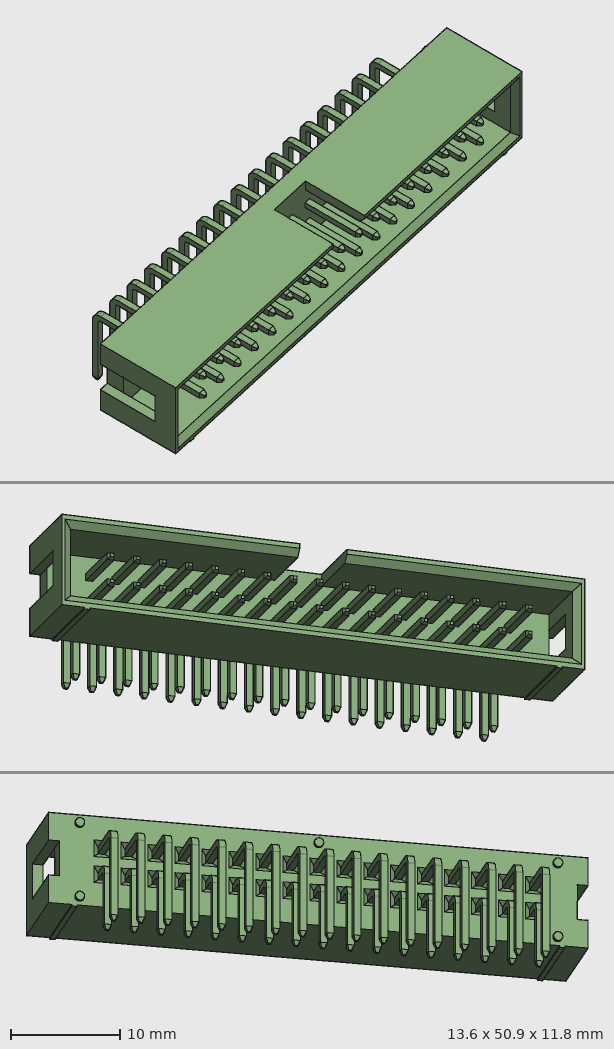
import cadquery as cq


length = 50.85
depth = 8.85
height = 8.85
base_thickness = 1.95
wall = 1.15
end_wall = 1.0
mouth_bevel_depth = 0.55
mouth_bevel_width = 0.7
mid_z = -height / 2

window_height = 3.4
window_end_x = 6.4
key_slot_width = 4.6

pin_count = 17
pitch = 2.55
pin_size = 0.65
pin_end_x = 8.3
pin_tip_z = -11.8
tip_length = 0.45
tip_size = 0.3
outer_leg_reach = 4.75
outer_row_x = pin_size / 2 - outer_leg_reach
bend_radius = 0.65
pin_rows = [
    (outer_row_x, mid_z + pitch / 2),
    (outer_row_x + pitch, mid_z - pitch / 2),
]
pin_ys = [(i - (pin_count - 1) / 2) * pitch for i in range(pin_count)]

funnel_size = 1.65
funnel_depth = 0.5

nub_diameter = 0.85
nub_height = 0.3
nub_inset = 0.8
nub_y = 22.5
rib_width = 0.5
rib_height = 0.15
rib_y = 23.0


def block(x_range, y_range, z_range):
    """Axis-aligned box from its limits along X, Y and Z."""
    limits = (x_range, y_range, z_range)
    sizes = [high - low for low, high in limits]
    corner = cq.Vector(*[low for low, high in limits])
    return cq.Workplane("XY").box(*sizes, centered=False).translate(corner)


def make_cavity():
    """Socket open towards +X, with a bevelled mouth."""
    cavity_length = length - 2 * end_wall
    cavity_height = height - 2 * wall
    pocket = block(
        (base_thickness, depth),
        (-cavity_length / 2, cavity_length / 2),
        (mid_z - cavity_height / 2, mid_z + cavity_height / 2),
    )
    mouth = (
        cq.Workplane("YZ", origin=(depth, 0, mid_z))
        .rect(cavity_length + 2 * mouth_bevel_width, cavity_height + 2 * mouth_bevel_width)
        .workplane(offset=-mouth_bevel_depth)
        .rect(cavity_length, cavity_height)
        .loft()
    )
    return pocket.union(mouth)


def make_housing():
    half = length / 2
    housing = block((0, depth), (-half, half), (-height, 0)).cut(make_cavity())
    window_z = (mid_z - window_height / 2, mid_z + window_height / 2)
    housing = housing.cut(block((0, window_end_x), (half - end_wall, half), window_z))
    housing = housing.cut(block((0, window_end_x), (-half, end_wall - half), window_z))
    key_y = (-key_slot_width / 2, key_slot_width / 2)
    return housing.cut(block((base_thickness, depth), key_y, (-wall, 0)))


def make_funnel(y, z):
    return (
        cq.Workplane("YZ", origin=(0, y, z))
        .rect(funnel_size, funnel_size)
        .workplane(offset=funnel_depth)
        .rect(pin_size, pin_size)
        .loft()
    )


def make_tip(plane):
    """Tapered pin end, pointing along the normal of the plane."""
    return (
        cq.Workplane(plane)
        .rect(pin_size, pin_size)
        .workplane(offset=tip_length)
        .rect(tip_size, tip_size)
        .loft()
    )


def make_pin(x, y, z):
    """Square pin with a downward leg at x and a straight contact at height z."""
    leg_end_z = pin_tip_z + tip_length
    contact_end_x = pin_end_x - tip_length
    path = (
        cq.Workplane("XZ", origin=(0, y, 0))
        .moveTo(x, leg_end_z)
        .lineTo(x, z - bend_radius)
        .radiusArc((x + bend_radius, z), bend_radius)
        .lineTo(contact_end_x, z)
    )
    bar = cq.Workplane("XY", origin=(x, y, leg_end_z)).rect(pin_size, pin_size).sweep(path)
    leg_tip = make_tip(cq.Plane((x, y, leg_end_z), (1, 0, 0), (0, 0, -1)))
    contact_tip = make_tip(cq.Plane((contact_end_x, y, z), (0, 1, 0), (1, 0, 0)))
    return bar.union(leg_tip).union(contact_tip)


def make_nubs():
    top_z = -nub_inset
    bottom_z = nub_inset - height
    places = [(y, z) for y in (-nub_y, nub_y) for z in (top_z, bottom_z)]
    places.append((0, top_z))
    return cq.Workplane("YZ").pushPoints(places).circle(nub_diameter / 2).extrude(-nub_height)


def make_rib(y):
    y_range = (y - rib_width / 2, y + rib_width / 2)
    return block((0, depth), y_range, (-height - rib_height, -height))


result = make_housing().union(make_nubs())
for side in (-1, 1):
    result = result.union(make_rib(side * rib_y))
for row_x, row_z in pin_rows:
    for pin_y in pin_ys:
        result = result.cut(make_funnel(pin_y, row_z))
        result = result.union(make_pin(row_x, pin_y, row_z))